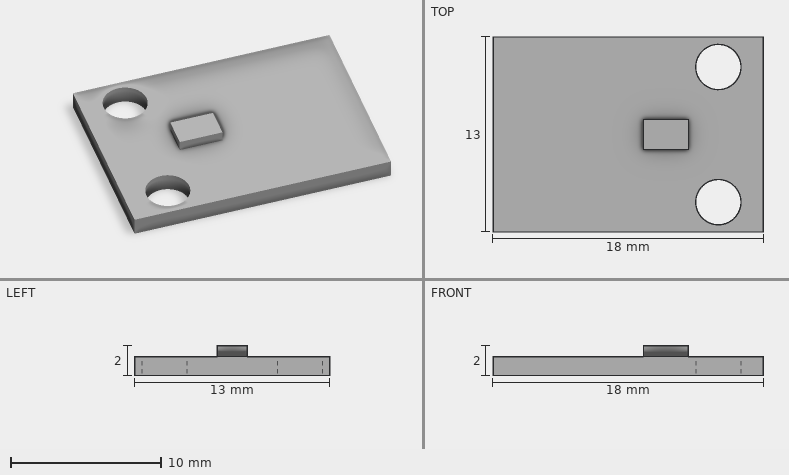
import cadquery as cq

board_length = 18.0
board_width = 13.0
board_thickness = 1.27

hole_diameter = 3.0
hole_to_right_edge = 3.0
hole_to_side_edge = 2.0

overall_height = 2.0
chip_length = 3.0
chip_width = 2.0
chip_height = overall_height - board_thickness
chip_to_left_edge = 10.0


def make_board():
    """Plate with two through holes, placed symmetrically about its long centerline."""
    plate = cq.Workplane("XY").box(
        board_length, board_width, board_thickness, centered=False
    )
    hole_x = board_length - hole_to_right_edge
    hole_centers = [
        (hole_x, hole_to_side_edge),
        (hole_x, board_width - hole_to_side_edge),
    ]
    holes = (
        cq.Workplane("XY")
        .pushPoints(hole_centers)
        .circle(hole_diameter / 2)
        .extrude(board_thickness)
    )
    return plate.cut(holes)


def make_chip():
    """Plain block on the board's top face, centered across the board's width."""
    chip_y = (board_width - chip_width) / 2
    return (
        cq.Workplane("XY")
        .box(chip_length, chip_width, chip_height, centered=False)
        .translate((chip_to_left_edge, chip_y, board_thickness))
    )


board = make_board()
chip = make_chip()

result = cq.Compound.makeCompound([board.val(), chip.val()])